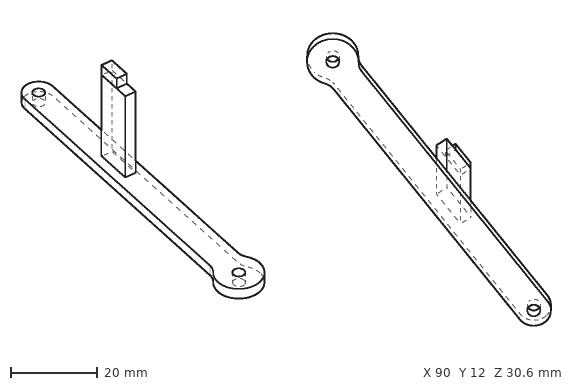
import cadquery as cq
import math

overall_length = 90.0
arm_width = 8.0
eye_diameter = 12.0
thickness = 3.0
neck_fillet_radius = 4.0
hole_diameter = 3.0

post_start_x = 27.2
post_length = 9.5
post_height = 24.6
post_width = 3.0
tab_length = 6.0
tab_height = 3.0

tip_radius = arm_width / 2
eye_radius = eye_diameter / 2
eye_x = overall_length - tip_radius - eye_radius
post_top_z = thickness + post_height

fillet_center_y = tip_radius + neck_fillet_radius
center_distance = eye_radius + neck_fillet_radius
fillet_offset_x = math.sqrt(center_distance**2 - fillet_center_y**2)
neck_start_x = eye_x - fillet_offset_x
eye_share = eye_radius / center_distance
neck_end_x = eye_x - fillet_offset_x * eye_share
neck_end_y = fillet_center_y * eye_share


def make_block(start_x, base_z, length, height):
    """Block as wide as the post, centred across the arm."""
    return (
        cq.Workplane("XY")
        .box(length, post_width, height, centered=(False, True, False))
        .translate((start_x, 0, base_z))
    )


def make_arm_plate():
    """Arm outline with tip, necks and eye, pierced by both holes."""
    plate = (
        cq.Workplane("XY")
        .moveTo(0, -tip_radius)
        .lineTo(neck_start_x, -tip_radius)
        .radiusArc((neck_end_x, -neck_end_y), neck_fillet_radius)
        .threePointArc((eye_x + eye_radius, 0), (neck_end_x, neck_end_y))
        .radiusArc((neck_start_x, tip_radius), neck_fillet_radius)
        .lineTo(0, tip_radius)
        .threePointArc((-tip_radius, 0), (0, -tip_radius))
        .close()
        .extrude(thickness)
    )
    holes = (
        cq.Workplane("XY")
        .pushPoints([(0, 0), (eye_x, 0)])
        .circle(hole_diameter / 2)
        .extrude(thickness)
    )
    return plate.cut(holes)


def make_arm():
    """Arm plate with its upright post, as one body."""
    post = make_block(post_start_x, thickness, post_length, post_height)
    return make_arm_plate().union(post)


def make_tab():
    """Short tab on the post top, flush with the post's -X face."""
    return make_block(post_start_x, post_top_z, tab_length, tab_height)


arm = make_arm()
tab = make_tab()

result = cq.Compound.makeCompound([arm.solids().val(), tab.val()])